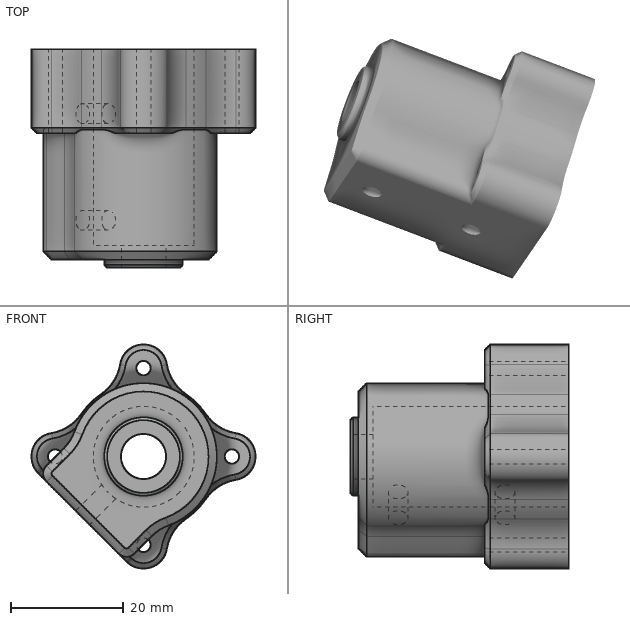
import cadquery as cq
import math

flat_turn = 225.0

flange_height = 15.0
flange_chamfer = 1.0
flange_radius = 13.45
ear_distance = 15.75
ear_tip_radius = 20.0
ear_radius = ear_tip_radius - ear_distance
ear_blend_radius = 8.0
ear_hole_diameter = 2.5
ear_angles = (45, 135, 225, 315)

flat_distance = ear_distance / math.sqrt(2) + ear_radius

body_height = 37.5
body_chamfer = 1.48
body_radius = 13.07
foot_half_width = 11.07
foot_corner_radius = 2.0
foot_blend_radius = 8.0

total_height = 39.0
boss_diameter = 14.0
boss_chamfer = 0.5
bore_diameter = 8.0

cavity_diameter = 18.0
bore_length = 4.0
cavity_depth = total_height - bore_length

side_hole_diameter = 3.5
side_hole_heights = (11.45, 30.45)


def polar(radius, angle):
    """Point at a radius and an angle in degrees."""
    return (radius * math.cos(math.radians(angle)), radius * math.sin(math.radians(angle)))


def toward(start, end, distance):
    """Point at a distance from start along the line to end."""
    length = math.dist(start, end)
    return tuple(a + (b - a) * distance / length for a, b in zip(start, end))


def midpoint(start, end):
    """Point halfway between two points."""
    return ((start[0] + end[0]) / 2, (start[1] + end[1]) / 2)


def mirrored(point):
    """Point reflected across the U axis."""
    return (point[0], -point[1])


def base_plane():
    """Rear-face plane, with its normal toward the nose."""
    return cq.Workplane("XZ")


def flange():
    reach = flange_radius + ear_blend_radius
    ear_reach = ear_radius + ear_blend_radius
    cosine = (ear_distance**2 + reach**2 - ear_reach**2) / (2 * ear_distance * reach)
    blend_angle = math.degrees(math.acos(cosine))

    def blend_points(ear_angle, side):
        """Flange tangency, arc middle and ear tangency of the blend on one side of an ear."""
        center = polar(reach, ear_angle + side * blend_angle)
        ear_center = polar(ear_distance, ear_angle)
        on_flange = toward(center, (0, 0), ear_blend_radius)
        on_ear = toward(center, ear_center, ear_blend_radius)
        return on_flange, toward(center, midpoint(on_flange, on_ear), ear_blend_radius), on_ear

    flat_end = (flat_distance, ear_distance / math.sqrt(2))
    outline = base_plane().moveTo(*flat_end)
    for ear_angle, next_angle in zip(ear_angles, ear_angles[1:]):
        gap_angle = (ear_angle + next_angle) / 2
        on_flange, middle, on_ear = blend_points(ear_angle, 1)
        next_on_flange, next_middle, next_on_ear = blend_points(next_angle, -1)
        outline = (
            outline.threePointArc(polar(ear_tip_radius, ear_angle), on_ear)
            .threePointArc(middle, on_flange)
            .threePointArc(polar(flange_radius, gap_angle), next_on_flange)
            .threePointArc(next_middle, next_on_ear)
        )
    outline = outline.threePointArc(polar(ear_tip_radius, ear_angles[-1]), mirrored(flat_end))
    return outline.close().extrude(flange_height).faces("<Y").chamfer(flange_chamfer)


def body():
    blend_v = foot_half_width + foot_blend_radius
    blend_u = math.sqrt((body_radius + foot_blend_radius) ** 2 - blend_v**2)
    blend_center = (blend_u, blend_v)
    on_side = (blend_u, foot_half_width)
    on_circle = toward((0, 0), blend_center, body_radius)
    blend_middle = toward(blend_center, midpoint(on_side, on_circle), foot_blend_radius)
    foot_corner = (flat_distance, foot_half_width)
    solid = (
        base_plane()
        .moveTo(*mirrored(foot_corner))
        .lineTo(*foot_corner)
        .lineTo(*on_side)
        .threePointArc(blend_middle, on_circle)
        .threePointArc((-body_radius, 0), mirrored(on_circle))
        .threePointArc(mirrored(blend_middle), mirrored(on_side))
        .close()
        .extrude(body_height)
    )
    solid = solid.edges("|Y and >X").fillet(foot_corner_radius)
    return solid.faces("<Y").chamfer(body_chamfer)


def boss():
    solid = base_plane().circle(boss_diameter / 2).extrude(total_height)
    return solid.faces("<Y").chamfer(boss_chamfer)


def ear_holes():
    centers = [polar(ear_distance, angle) for angle in ear_angles]
    return base_plane().pushPoints(centers).circle(ear_hole_diameter / 2).extrude(flange_height)


def bore():
    return base_plane().circle(bore_diameter / 2).extrude(total_height)


def cavity():
    return base_plane().circle(cavity_diameter / 2).extrude(cavity_depth)


def side_holes():
    """Holes from the flat side to the cavity."""
    centers = [(-height, 0) for height in side_hole_heights]
    return cq.Workplane("YZ").pushPoints(centers).circle(side_hole_diameter / 2).extrude(flat_distance)


part = flange().union(body()).union(boss())
part = part.cut(bore()).cut(cavity()).cut(side_holes())
part = part.cut(ear_holes())
result = part.rotate((0, 0, 0), (0, -1, 0), flat_turn)